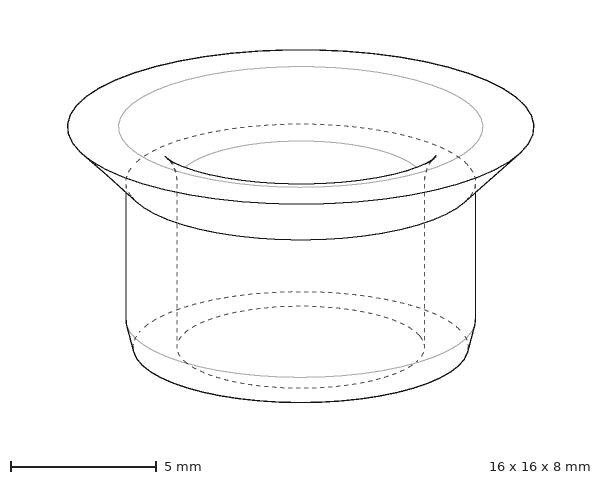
import cadquery as cq
import math

flange_diameter = 16.0
body_diameter = 12.0
bore_diameter = 8.5
height = 8.0
mouth_radius = 2.0
lead_in_height = 1.0
lead_in_angle = 14.0

flange_radius = flange_diameter / 2
body_radius = body_diameter / 2
bore_radius = bore_diameter / 2
flange_height = flange_radius - body_radius
tip_radius = body_radius - lead_in_height * math.tan(math.radians(lead_in_angle))


def outer_body():
    """Solid of revolution: tapered tip, cylindrical body and conical flange."""
    return (
        cq.Workplane("XZ")
        .moveTo(0, 0)
        .lineTo(tip_radius, 0)
        .lineTo(body_radius, lead_in_height)
        .lineTo(body_radius, height - flange_height)
        .lineTo(flange_radius, height)
        .lineTo(0, height)
        .close()
        .revolve(360, (0, 0), (0, 1))
    )


def bore_with_rounded_mouth():
    """Through bore that flares along a convex quarter round to the top face."""
    arc_center_radius = bore_radius + mouth_radius
    arc_center_height = height - mouth_radius
    arc_offset = mouth_radius * math.sqrt(0.5)
    return (
        cq.Workplane("XZ")
        .moveTo(0, 0)
        .lineTo(bore_radius, 0)
        .lineTo(bore_radius, arc_center_height)
        .threePointArc(
            (arc_center_radius - arc_offset, arc_center_height + arc_offset),
            (arc_center_radius, height),
        )
        .lineTo(0, height)
        .close()
        .revolve(360, (0, 0), (0, 1))
    )


result = outer_body().cut(bore_with_rounded_mouth())